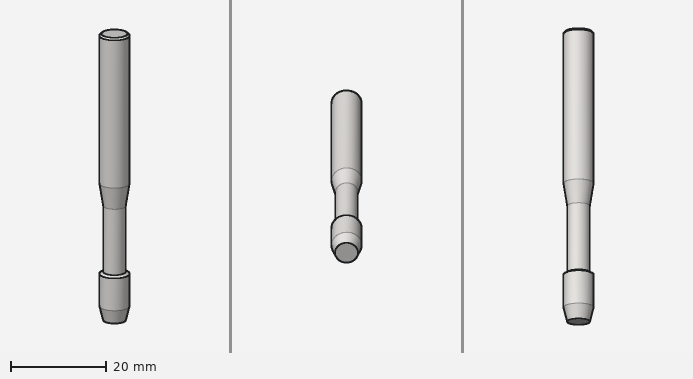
import cadquery as cq
import math

TOTAL_LENGTH = 63.5
BODY_RADIUS = 3.205
NECK_RADIUS = 2.4
TIP_RADIUS = 2.4
LEAD_LENGTH = 3.2
HEAD_LENGTH = 10.3
NECK_END = 25.4
SHANK_START = 30.35
END_CHAMFER = 0.45
SHOULDER_ANGLE = 30.0

SHOULDER_HEIGHT = (BODY_RADIUS - NECK_RADIUS) * math.tan(math.radians(SHOULDER_ANGLE))
SHOULDER_TOP = HEAD_LENGTH + SHOULDER_HEIGHT


def turned_body(profile):
    """Revolve an outline of (radius, height) points, closed along the Z axis."""
    bottom = profile[0][1]
    top = profile[-1][1]
    outline = [(0, bottom), *profile, (0, top)]
    return cq.Workplane("XZ").polyline(outline).close().revolve(360, (0, 0), (0, 1))


def make_head():
    """Full-diameter head with a tapered lead at its tip."""
    return turned_body([
        (TIP_RADIUS, 0),
        (BODY_RADIUS, LEAD_LENGTH),
        (BODY_RADIUS, HEAD_LENGTH),
    ])


def make_shank():
    """Shoulder, neck, widening cone and chamfered shank, seated on the head."""
    return turned_body([
        (BODY_RADIUS, HEAD_LENGTH),
        (NECK_RADIUS, SHOULDER_TOP),
        (NECK_RADIUS, NECK_END),
        (BODY_RADIUS, SHANK_START),
        (BODY_RADIUS, TOTAL_LENGTH - END_CHAMFER),
        (BODY_RADIUS - END_CHAMFER, TOTAL_LENGTH),
    ])


head = make_head()
shank = make_shank()

result = cq.Compound.makeCompound([head.val(), shank.val()])